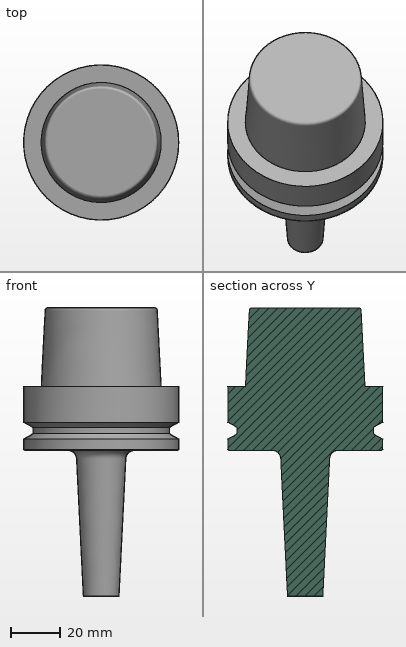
import cadquery as cq

total_height = 117.0
flange_bottom = 59.1
flange_top = 85.1
groove_center = 67.2

flange_radius = 31.5
groove_radius = 27.7
groove_step_radius = 28.8
shank_tip_radius = 7.3
shank_root_radius = 10.2
taper_base_radius = 24.3
taper_top_radius = 22.7

groove_mouth_width = 6.8
groove_step_width = 3.9
groove_floor_width = 2.5

root_fillet = 3.4
top_fillet = 1.2
rim_chamfer = 0.5

groove_mouth_bottom = groove_center - groove_mouth_width / 2
groove_mouth_top = groove_center + groove_mouth_width / 2
groove_step_bottom = groove_center - groove_step_width / 2
groove_step_top = groove_center + groove_step_width / 2
groove_floor_bottom = groove_center - groove_floor_width / 2
groove_floor_top = groove_center + groove_floor_width / 2

profile = (
    cq.Workplane("XZ")
    .lineTo(shank_tip_radius, 0)
    .lineTo(shank_root_radius, flange_bottom)
    .lineTo(flange_radius - rim_chamfer, flange_bottom)
    .lineTo(flange_radius, flange_bottom + rim_chamfer)
    .lineTo(flange_radius, groove_mouth_bottom)
    .lineTo(groove_step_radius, groove_step_bottom)
    .lineTo(groove_radius, groove_floor_bottom)
    .lineTo(groove_radius, groove_floor_top)
    .lineTo(groove_step_radius, groove_step_top)
    .lineTo(flange_radius, groove_mouth_top)
    .lineTo(flange_radius, flange_top)
    .lineTo(taper_base_radius, flange_top)
    .lineTo(taper_top_radius, total_height)
    .lineTo(0, total_height)
    .close()
)
body = profile.revolve(360, (0, 0, 0), (0, 1, 0))


def round_circle(solid, edge_radius, height, fillet_radius):
    """Fillet the circular edge with the given radius and height."""
    tolerance = 0.01
    circle = solid.edges("%CIRCLE").filter(
        lambda edge: abs(edge.radius() - edge_radius) < tolerance
        and abs(edge.Center().z - height) < tolerance
    )
    return circle.fillet(fillet_radius)


body = round_circle(body, shank_root_radius, flange_bottom, root_fillet)
result = round_circle(body, taper_top_radius, total_height, top_fillet)